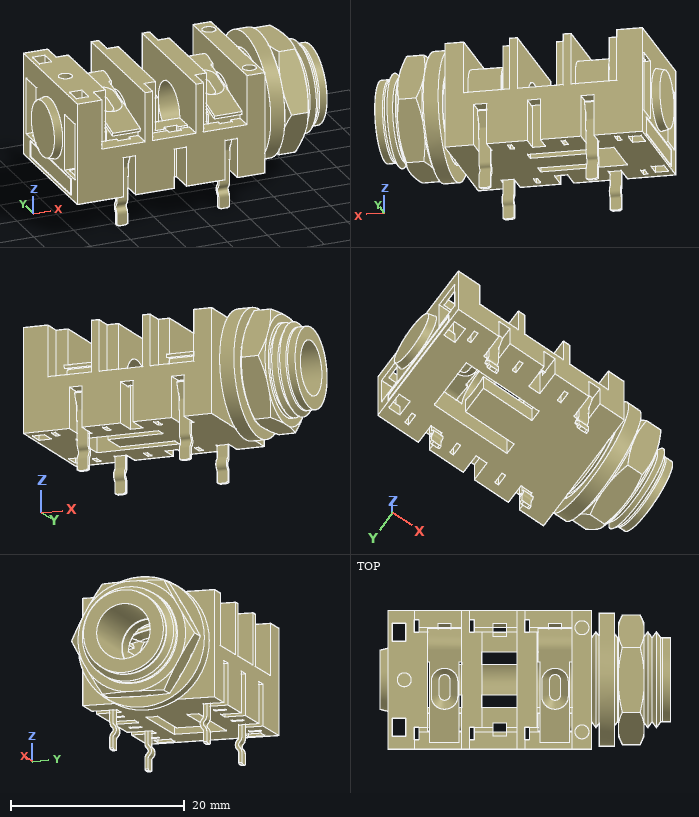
import cadquery as cq
import math


boss_length = 0.95
boss_base_diameter = 7.3
boss_end_diameter = 6.85
block_length = 23.45
block_width = 16.0
block_top = 6.15
block_bottom = -6.45
block_start = boss_length
block_end = block_start + block_length
bore_diameter = 6.35

bay_count = 3
bay_pitch = 6.35
first_bay_end = 9.4
wall_thickness = 0.95
divider_thickness = 2.35
end_wall_front = 5.5
thick_wall_half_width = 5.5
bay_ends = [first_bay_end + i * bay_pitch for i in range(bay_count)]
contact_bay_ends = [bay_ends[0], bay_ends[2]]

sheet = 0.4
contact_width = 3.92
contact_face = 5.9
pin_width = 1.35
pin_shoulder_width = 1.47
pin_shoulder_bottom = -5.02
pin_bottom = -11.02
pin_corner_height = 0.15
pin_corner_width = 0.27
plate_bottom = -1.55
jog_top = -7.87
barb_bottom = -3.8
barb_top = -1.9
barb_reach = 0.8
barb_root_radius = 0.5
contact_offset = contact_width / 2

slot_inner = thick_wall_half_width
slot_outer = 6.0
notch_length = 0.5
notch_outer = 6.9
pin_slot_width = 1.55
ramp_depth = 0.5
ramp_height = 1.0

spring_radius = 1.98
spring_bend_height = 2.05
spring_slope = 13.6
spring_arm = 11.0
neck_start = 2.05
neck_offset = 0.2
neck_width = 3.45
dimple_y = -1.05
dimple_length = 4.85
dimple_width = 3.05
dimple_floor_width = 1.25
dimple_depth = 0.67

switch_radius = 0.67
switch_bend_height = 0.7
switch_slope = -9.6
switch_arm = 1.47

thread_crest = 11.1
thread_root = 9.7
thread_count = 8
barrel_end = 32.55
first_crest = 24.9
last_crest = 31.85
thread_pitch = (last_crest - first_crest) / (thread_count - 1)

total_length = 33.5
ferrule_bore = 6.5
ferrule_sleeve = 7.7
ferrule_flange = thread_root
washer_start = 25.25
washer_thickness = 1.78
washer_diameter = 15.35
washer_bore = 11.3
nut_start = 27.47
nut_thickness = 2.98
nut_across_flats = 12.95
nut_chamfer = 0.47
nut_face_diameter = 13.05

peg_hole_diameter = 1.6
peg_hole_depth = 1.68
rear_peg_x = 2.8
front_peg_x = 23.28
front_peg_y = 6.0
rear_pocket_inner = 4.2
rear_pocket_outer = 7.25
rear_pocket_bottom = -3.65
rear_pocket_top = 3.35
rear_pocket_end = 2.98
rear_window_start = 1.45
rear_window_inner = 4.45
rear_window_outer = 6.5
label_width = 12.03
label_bottom = -6.05
label_top = -4.05
label_depth = 0.1

rail_half_width = 1.78
rail_start = 8.9


def box(x, y, z):
    """Box between the (low, high) limits given for each axis."""
    size = [high - low for low, high in (x, y, z)]
    return cq.Workplane("XY").box(*size, centered=False).translate((x[0], y[0], z[0]))


def rod(start, end, diameter):
    """Cylinder on the socket axis."""
    return cq.Workplane("YZ").workplane(offset=start).circle(diameter / 2).extrude(end - start)


def mirrored_pair(shape):
    """The shape together with its mirror image in the XZ plane."""
    return shape.union(shape.mirror("XZ"))


def rear_boss():
    return (
        cq.Workplane("XY")
        .polyline([
            (0, 0),
            (0, boss_end_diameter / 2),
            (boss_length, boss_base_diameter / 2),
            (boss_length, 0),
        ])
        .close()
        .revolve(360, (0, 0, 0), (1, 0, 0))
    )


def threaded_barrel():
    """Ring-shaped V threads followed by a short plain land."""
    crest = thread_crest / 2
    root = thread_root / 2
    points = [(block_end, 0), (block_end, root)]
    for i in range(thread_count):
        x = first_crest + i * thread_pitch
        points += [(x, crest), (x + thread_pitch / 2, root)]
    points += [(barrel_end, root), (barrel_end, 0)]
    return cq.Workplane("XY").polyline(points).close().revolve(360, (0, 0, 0), (1, 0, 0))


def bay_cut(index):
    """Space of one bay above the socket axis."""
    end = bay_ends[index]
    outer_start = end - bay_pitch + wall_thickness
    inner_start = end_wall_front if index == 0 else end - bay_pitch + divider_thickness
    height = (0, block_top)
    middle = box((inner_start, end), (-thick_wall_half_width, thick_wall_half_width), height)
    side = box((outer_start, end), (thick_wall_half_width, block_width / 2), height)
    return middle.union(mirrored_pair(side))


def ramp(start, end, y_top, y_bottom):
    """Wedge between a slot wall at y_bottom and a wider opening at y_top."""
    return (
        cq.Workplane("YZ")
        .workplane(offset=start)
        .polyline([(y_bottom, 0), (y_top, 0), (y_bottom, -ramp_height)])
        .close()
        .extrude(end - start)
    )


def contact_slots(bay_end):
    """Plate slots, end notches and pin slots on both sides of one bay."""
    slot_start = bay_end - bay_pitch + wall_thickness
    middle = bay_end - contact_offset
    pin_x = (middle - pin_slot_width / 2, middle + pin_slot_width / 2)

    plate_slot = box((slot_start, bay_end), (slot_inner, slot_outer), (plate_bottom, 0))
    notch = box((slot_start, slot_start + notch_length), (slot_inner, notch_outer), (block_bottom, 0))
    pin_slot = box(pin_x, (slot_inner, block_width / 2), (block_bottom, plate_bottom))
    outer_ramp = ramp(*pin_x, slot_outer + ramp_depth, slot_outer)
    both_sides = mirrored_pair(plate_slot.union(notch).union(pin_slot).union(outer_ramp))

    inner_ramp = ramp(*pin_x, slot_inner - ramp_depth, slot_inner)
    inner_relief = box(pin_x, (-slot_inner, -slot_inner + ramp_depth), (block_bottom, 0))
    return both_sides.union(inner_ramp).union(inner_relief)


def floor_openings():
    """Openings beside the central rail of the floor, and behind the rail's end."""
    opening_end = bay_ends[1]
    half_bore = bore_diameter / 2
    height = (block_bottom, 0)
    beside = box((end_wall_front, opening_end), (rail_half_width, half_bore), height)
    behind = box((end_wall_front, rail_start), (-rail_half_width, rail_half_width), height)
    return mirrored_pair(beside).union(behind)


def rear_pockets():
    """Pocket in the rear face with a vertical window through it, on each side."""
    pocket = box(
        (block_start, rear_pocket_end),
        (rear_pocket_inner, rear_pocket_outer),
        (rear_pocket_bottom, rear_pocket_top),
    )
    window = box(
        (rear_window_start, rear_pocket_end),
        (rear_window_inner, rear_window_outer),
        (block_bottom, block_top),
    )
    return mirrored_pair(pocket.union(window))


def label_recess():
    return box(
        (block_start, block_start + label_depth),
        (-label_width / 2, label_width / 2),
        (label_bottom, label_top),
    )


def peg_holes():
    places = [(rear_peg_x, 0), (front_peg_x, front_peg_y), (front_peg_x, -front_peg_y)]
    return (
        cq.Workplane("XY")
        .workplane(offset=block_top - peg_hole_depth)
        .pushPoints(places)
        .circle(peg_hole_diameter / 2)
        .extrude(peg_hole_depth)
    )


def make_housing():
    body = box(
        (block_start, block_end),
        (-block_width / 2, block_width / 2),
        (block_bottom, block_top),
    )
    body = body.union(rear_boss()).union(threaded_barrel())
    for index, bay_end in enumerate(bay_ends):
        body = body.cut(bay_cut(index)).cut(contact_slots(bay_end))
    body = body.cut(rod(end_wall_front, barrel_end, bore_diameter))
    body = body.cut(rod(block_end, barrel_end, ferrule_sleeve))
    body = body.cut(floor_openings()).cut(rear_pockets())
    return body.cut(label_recess()).cut(peg_holes())


def bent_plate(radius, bend_height, slope, arm):
    """Upright plate on the +Y side, bent inwards into a straight arm; middle at X = 0."""
    angle = math.radians(slope)
    center_y = contact_face - radius

    def on_bend(r, a):
        return (center_y - r * math.sin(a), bend_height + r * math.cos(a))

    def arm_end(r):
        y, z = on_bend(r, angle)
        return (y - arm * math.cos(angle), z - arm * math.sin(angle))

    inner_radius = radius - sheet
    middle_angle = (angle - math.pi / 2) / 2
    return (
        cq.Workplane("YZ")
        .workplane(offset=-contact_width / 2)
        .moveTo(contact_face, plate_bottom)
        .lineTo(contact_face, bend_height)
        .threePointArc(on_bend(radius, middle_angle), on_bend(radius, angle))
        .lineTo(*arm_end(radius))
        .lineTo(*arm_end(inner_radius))
        .lineTo(*on_bend(inner_radius, angle))
        .threePointArc(on_bend(inner_radius, middle_angle), (contact_face - sheet, bend_height))
        .lineTo(contact_face - sheet, plate_bottom)
        .close()
        .extrude(contact_width)
    )


def pin():
    """Pin with an inward snap jog, on the +Y side; middle at X = 0.

    The jog is three tangent arcs. Each face bends with a radius of one or two
    sheet thicknesses, which moves the sheet inwards by its own thickness.
    """
    large = 2 * sheet
    half_jog = sheet * math.sqrt(5)
    jog_middle = jog_top - half_jog
    jog_bottom = jog_middle - half_jog
    turn = math.atan2(half_jog, large)
    end_center_y = contact_face - large
    block_back = contact_face - 5 * sheet

    def block_behind_face(end_radius, middle_radius):
        """Everything on the inner side of one face of the pin, back to block_back."""
        face_y = end_center_y + end_radius

        def upper(angle):
            return (end_center_y + end_radius * math.cos(angle), jog_top - end_radius * math.sin(angle))

        def lower(angle):
            return (end_center_y + end_radius * math.cos(angle), jog_bottom + end_radius * math.sin(angle))

        return (
            cq.Workplane("YZ")
            .workplane(offset=-pin_width / 2)
            .moveTo(block_back, plate_bottom)
            .lineTo(face_y, plate_bottom)
            .lineTo(face_y, jog_top)
            .threePointArc(upper(turn / 2), upper(turn))
            .threePointArc((contact_face - middle_radius, jog_middle), lower(turn))
            .threePointArc(lower(turn / 2), (face_y, jog_bottom))
            .lineTo(face_y, pin_bottom)
            .lineTo(block_back, pin_bottom)
            .close()
            .extrude(pin_width)
        )

    strip = block_behind_face(large, sheet).cut(block_behind_face(sheet, large))
    strip = strip.faces("<Z").edges("|Y").chamfer(pin_corner_height, pin_corner_width)
    shoulder = box(
        (-pin_shoulder_width / 2, pin_shoulder_width / 2),
        (contact_face - sheet, contact_face),
        (pin_shoulder_bottom, plate_bottom),
    )
    return strip.union(shoulder)


def barb():
    """Locking wedge on the outer face of the pin, on the +Y side, blended in at its root."""
    tip = contact_face + barb_reach
    wedge_top = barb_top + sheet / 2
    return (
        cq.Workplane("YZ")
        .workplane(offset=-pin_width / 2)
        .polyline([
            (contact_face - sheet, wedge_top),
            (contact_face - sheet, pin_shoulder_bottom),
            (contact_face, pin_shoulder_bottom),
            (contact_face, barb_bottom),
            (tip, barb_top),
            (tip - sheet, wedge_top),
        ])
        .close()
        .extrude(pin_width)
        .edges(cq.selectors.NearestToPointSelector((0, contact_face, barb_bottom)))
        .fillet(barb_root_radius)
    )


def dimple_block(top_drop):
    """Oblong tapered plug below the arm's top face, sunk by top_drop."""
    angle = math.radians(spring_slope)
    bend_y = contact_face - spring_radius
    crest_z = spring_bend_height + spring_radius / math.cos(angle)
    surface_z = crest_z - (bend_y - dimple_y) * math.tan(angle)
    side_angle = math.degrees(math.atan2((dimple_width - dimple_floor_width) / 2, dimple_depth))
    arm_plane = cq.Plane(
        origin=(0, dimple_y, surface_z),
        xDir=(0, math.cos(angle), math.sin(angle)),
        normal=(0, math.sin(angle), -math.cos(angle)),
    )
    return (
        cq.Workplane(arm_plane)
        .workplane(offset=top_drop)
        .slot2D(dimple_length, dimple_width)
        .extrude(dimple_depth, taper=side_angle)
    )


def make_spring_contact(bay_end):
    """Long contact hinged on the +Y side of a bay."""
    body = bent_plate(spring_radius, spring_bend_height, spring_slope, spring_arm)
    half = contact_width / 2
    neck_start_x = -half + neck_offset
    beyond_neck = (-block_width / 2, neck_start)
    height = (0, block_top)
    body = body.cut(box((-half, neck_start_x), beyond_neck, height))
    body = body.cut(box((neck_start_x + neck_width, half), beyond_neck, height))
    body = body.union(dimple_block(sheet)).cut(dimple_block(0))
    body = body.union(pin()).union(barb())
    return body.translate((bay_end - contact_offset, 0, 0))


def make_switch_contact(bay_end):
    """Short contact on the -Y side of a bay, reaching under the spring's tip."""
    body = bent_plate(switch_radius, switch_bend_height, switch_slope, switch_arm)
    body = body.union(pin()).union(barb())
    return body.mirror("XZ").translate((bay_end - contact_offset, 0, 0))


def make_ferrule():
    """Flanged sleeve that lines the mouth of the barrel."""
    flange = rod(barrel_end, total_length, ferrule_flange)
    sleeve = rod(block_end, barrel_end, ferrule_sleeve)
    return flange.union(sleeve).cut(rod(block_end, total_length, ferrule_bore))


def make_washer():
    end = washer_start + washer_thickness
    return rod(washer_start, end, washer_diameter).cut(rod(washer_start, end, washer_bore))


def make_nut():
    """Hexagon nut with flats at top and bottom and both corners chamfered."""
    end = nut_start + nut_thickness
    corner_diameter = nut_across_flats / math.cos(math.pi / 6)
    body = (
        cq.Workplane("YZ")
        .workplane(offset=nut_start)
        .polygon(6, corner_diameter)
        .extrude(nut_thickness)
    )
    envelope = (
        cq.Workplane("XY")
        .polyline([
            (nut_start, 0),
            (nut_start, nut_face_diameter / 2),
            (nut_start + nut_chamfer, corner_diameter / 2),
            (end - nut_chamfer, corner_diameter / 2),
            (end, nut_face_diameter / 2),
            (end, 0),
        ])
        .close()
        .revolve(360, (0, 0, 0), (1, 0, 0))
    )
    return body.intersect(envelope).cut(rod(nut_start, end, thread_crest))


housing = make_housing()
ferrule = make_ferrule()
washer = make_washer()
nut = make_nut()
spring_contacts = [make_spring_contact(bay_end) for bay_end in contact_bay_ends]
switch_contacts = [make_switch_contact(bay_end) for bay_end in contact_bay_ends]

result = cq.Compound.makeCompound([
    housing.val(),
    ferrule.val(),
    washer.val(),
    nut.val(),
    *[contact.val() for contact in spring_contacts],
    *[contact.val() for contact in switch_contacts],
])